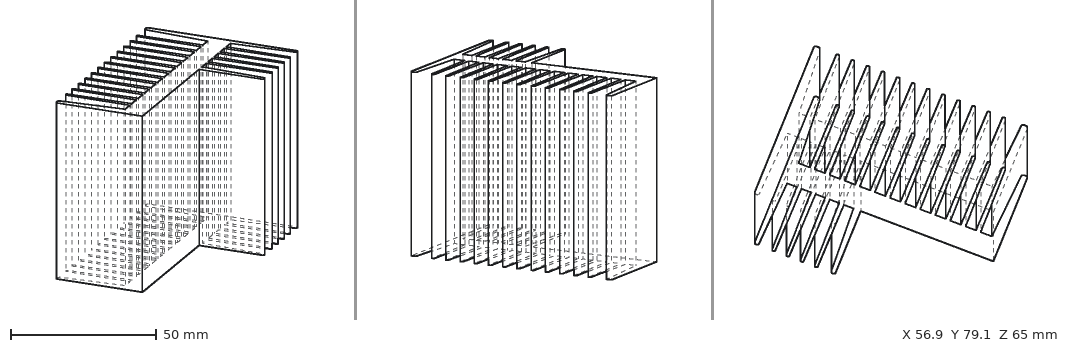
import cadquery as cq

width = 56.9
depth = 79.1
height = 65.0

web_left = 24.45
web_thickness = 8.15
web_right = web_left + web_thickness

fin_tip = 1.2
fin_root = 1.75
fin_tip_radius = 0.5

left_fin_count = 12
left_fin_span = 61.55
left_end_tip = 2.2
left_end_root = 3.8
left_end_radius = 0.8

right_bank_depth = 30.0
right_fin_count = 4
right_fin_span = 15.75
right_end_tip = 1.6
right_end_root = 2.7
right_end_radius = 0.7


def fin(root_x, tip_x, root_y, tip_y, tip_radius):
    """Tapered fin; root_y and tip_y are (front, back) pairs, and the tip corners are rounded."""
    outline = [
        (root_x, root_y[0]),
        (tip_x, tip_y[0]),
        (tip_x, tip_y[1]),
        (root_x, root_y[1]),
    ]
    tip_side = "<X" if tip_x < root_x else ">X"
    body = cq.Workplane("XY").polyline(outline).close().extrude(height)
    return body.faces(tip_side).edges("|Z").fillet(tip_radius)


def fin_bank(root_x, tip_x, front_y, back_y, count, span, end_tip, end_root, end_radius):
    """Evenly spaced thin fins between two end fins whose outer faces are flat."""
    front_root = (front_y, front_y + end_root)
    front_tip = (front_y, front_y + end_tip)
    back_root = (back_y - end_root, back_y)
    back_tip = (back_y - end_tip, back_y)
    fins = [
        fin(root_x, tip_x, front_root, front_tip, end_radius),
        fin(root_x, tip_x, back_root, back_tip, end_radius),
    ]
    first_y = (front_y + back_y - span) / 2
    pitch = span / (count - 1)
    for index in range(count):
        y = first_y + index * pitch
        root_y = (y - fin_root / 2, y + fin_root / 2)
        tip_y = (y - fin_tip / 2, y + fin_tip / 2)
        fins.append(fin(root_x, tip_x, root_y, tip_y, fin_tip_radius))
    return fins


left_fins = fin_bank(
    root_x=web_left,
    tip_x=0,
    front_y=0,
    back_y=depth,
    count=left_fin_count,
    span=left_fin_span,
    end_tip=left_end_tip,
    end_root=left_end_root,
    end_radius=left_end_radius,
)
right_fins = fin_bank(
    root_x=web_right,
    tip_x=width,
    front_y=depth - right_bank_depth,
    back_y=depth,
    count=right_fin_count,
    span=right_fin_span,
    end_tip=right_end_tip,
    end_root=right_end_root,
    end_radius=right_end_radius,
)

result = cq.Workplane("XY").box(web_thickness, depth, height, centered=False)
result = result.translate((web_left, 0, 0))
for fin_body in left_fins + right_fins:
    result = result.union(fin_body)